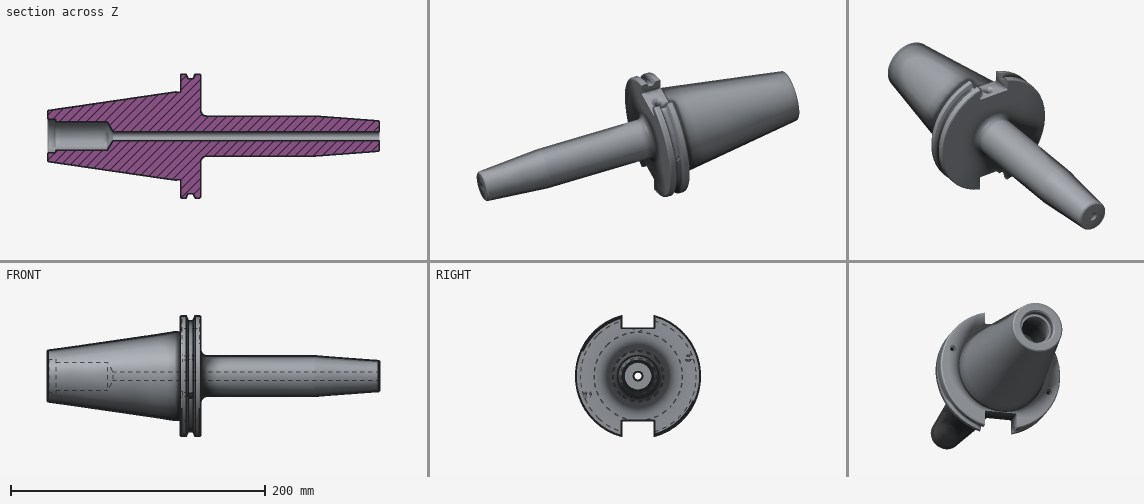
import cadquery as cq
import math

total_length = 261.5
taper_length = 101.0
flange_start = 104.6
flange_end = 120.9
nose_start = 210.3

gauge_dia = 69.8
taper_ratio = 7 / 24
taper_end_dia = gauge_dia - taper_ratio * taper_length
collar_dia = 69.3
collar_start = 103.0
taper_chamfer = 0.8

flange_dia = 98.0
flange_edge_radius = 1.3
groove_floor_dia = 91.0
groove_center = 112.7
groove_floor_width = 4.0
groove_mouth_width = 7.0

shank_dia = 32.0
shank_fillet = 4.5
nose_dia = 24.3
nose_chamfer = 1.0

mouth_dia = 28.5
counterbore_dia = 26.2
mouth_chamfer = (mouth_dia - counterbore_dia) / 2
counterbore_depth = 6.5
bore_dia = 22.0
bore_depth = 47.0
drill_point_angle = 118
coolant_dia = 6.8

slot_width = 26.0
upper_slot_floor = 37.7
lower_slot_floor = 35.0
slot_corner_radius = 0.8
dimple_dia = 9.5

port_angle = 20
port_circle_radius = 41.9
port_dia = 3.1
port_mouth_dia = 5.0
port_mouth_depth = 1.5
radial_mouth_dia = 4.2
radial_mouth_depth = 1.3
radial_overcut = 0.5


def make_body():
    """Revolve the outer profile about the X axis; points are (x, radius)."""
    flange_r = flange_dia / 2
    shank_r = shank_dia / 2
    fillet_end = flange_end + shank_fillet
    edge_mid = flange_edge_radius * (1 - math.sqrt(0.5))
    fillet_mid = shank_fillet * (1 - math.sqrt(0.5))
    profile = (
        cq.Workplane("XY")
        .moveTo(0, 0)
        .lineTo(0, taper_end_dia / 2 - taper_chamfer)
        .lineTo(taper_chamfer, taper_end_dia / 2 + taper_chamfer * taper_ratio / 2)
        .lineTo(taper_length, gauge_dia / 2)
        .lineTo(collar_start, collar_dia / 2)
        .lineTo(flange_start, collar_dia / 2)
        .lineTo(flange_start, flange_r - flange_edge_radius)
        .threePointArc(
            (flange_start + edge_mid, flange_r - edge_mid), (flange_start + flange_edge_radius, flange_r)
        )
        .lineTo(groove_center - groove_mouth_width / 2, flange_r)
        .lineTo(groove_center - groove_floor_width / 2, groove_floor_dia / 2)
        .lineTo(groove_center + groove_floor_width / 2, groove_floor_dia / 2)
        .lineTo(groove_center + groove_mouth_width / 2, flange_r)
        .lineTo(flange_end - flange_edge_radius, flange_r)
        .threePointArc(
            (flange_end - edge_mid, flange_r - edge_mid), (flange_end, flange_r - flange_edge_radius)
        )
        .lineTo(flange_end, shank_r + shank_fillet)
        .threePointArc((flange_end + fillet_mid, shank_r + fillet_mid), (fillet_end, shank_r))
        .lineTo(nose_start, shank_r)
        .lineTo(total_length - nose_chamfer, nose_dia / 2)
        .lineTo(total_length, nose_dia / 2 - nose_chamfer)
        .lineTo(total_length, 0)
        .close()
    )
    return profile.revolve(360, (0, 0), (1, 0))


def cone_length(start_dia, end_dia):
    """Length of a drill-point cone narrowing between two diameters."""
    return (start_dia - end_dia) / 2 / math.tan(math.radians(drill_point_angle / 2))


def make_bore():
    """Chamfered counterbore, main bore with drill point, and through coolant hole."""
    cone_end = bore_depth + cone_length(bore_dia, coolant_dia)
    profile = (
        cq.Workplane("XY")
        .moveTo(0, 0)
        .lineTo(0, mouth_dia / 2)
        .lineTo(mouth_chamfer, counterbore_dia / 2)
        .lineTo(counterbore_depth, counterbore_dia / 2)
        .lineTo(counterbore_depth, bore_dia / 2)
        .lineTo(bore_depth, bore_dia / 2)
        .lineTo(cone_end, coolant_dia / 2)
        .lineTo(total_length, coolant_dia / 2)
        .lineTo(total_length, 0)
        .close()
    )
    return profile.revolve(360, (0, 0), (1, 0))


def make_slot(floor, side):
    """Drive slot over the flange width; side is +1 for +Z and -1 for -Z."""
    height = flange_dia / 2 - floor
    slot = cq.Workplane("XY").box(flange_end - flange_start, slot_width, height)
    floor_face = "<Z" if side > 0 else ">Z"
    slot = slot.faces(floor_face).edges("|X").fillet(slot_corner_radius)
    return slot.translate(((flange_start + flange_end) / 2, 0, side * (floor + height / 2)))


def make_dimple():
    """Conical dimple in the floor of the upper slot."""
    depth = cone_length(dimple_dia, 0)
    cone = cq.Solid.makeCone(
        dimple_dia / 2, 0, depth, cq.Vector(groove_center, 0, upper_slot_floor), cq.Vector(0, 0, -1)
    )
    return cq.Workplane(obj=cone)


def stepped_hole(mouth, direction, mouth_width, mouth_depth, length):
    """Hole of the port diameter with a wider mouth."""
    hole = cq.Solid.makeCylinder(port_dia / 2, length, mouth, direction)
    return hole.fuse(cq.Solid.makeCylinder(mouth_width / 2, mouth_depth, mouth, direction))


def make_port(angle):
    """Axial hole from the flange face and the radial hole from the groove that meets it."""
    radial = cq.Vector(0, math.cos(math.radians(angle)), math.sin(math.radians(angle)))
    axis = cq.Vector(1, 0, 0)
    axial_mouth = radial * port_circle_radius + axis * flange_start
    axial_length = groove_center + port_dia - flange_start
    axial_hole = stepped_hole(axial_mouth, axis, port_mouth_dia, port_mouth_depth, axial_length)
    radial_start = groove_floor_dia / 2 + radial_overcut
    radial_mouth = radial * radial_start + axis * groove_center
    radial_length = radial_start - port_circle_radius
    mouth_cut = radial_mouth_depth + radial_overcut
    radial_hole = stepped_hole(radial_mouth, -radial, radial_mouth_dia, mouth_cut, radial_length)
    return cq.Workplane(obj=axial_hole.fuse(radial_hole))


result = make_body().cut(make_bore())
result = result.cut(make_slot(upper_slot_floor, 1))
result = result.cut(make_slot(lower_slot_floor, -1))
result = result.cut(make_dimple())
for angle in (port_angle, port_angle + 180):
    result = result.cut(make_port(angle))